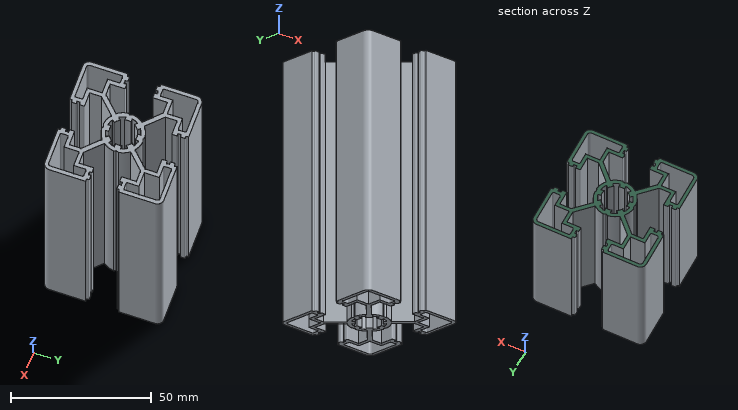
import cadquery as cq
import math

width = 45.0
length = 100.0
half = width / 2

corner_radius = 2.5
wall = 1.5
chamber_radius = corner_radius - wall
chamber_end_radius = 0.5
lip_depth = 6.0
slot_half_width = 5.2
slot_inner_half_width = 10.8
end_wall = 2.4

lip_recess = 1.0
step_depth = 1.0
groove_start = 2.9
groove_width = 1.1
lip_radius = 0.3

core_outer_radius = 7.9
core_inner_radius = 6.3
tooth_tip_radius = 5.1
tooth_width = 2.4
tooth_count = 8
notch_width = 1.8
notch_depth = 0.4

web_thickness = 1.8
diagonal_angle = 45
side_count = 4


def turned_copies(shape, count):
    """Join copies of a shape spaced evenly around the Z axis."""
    joined = shape
    for index in range(1, count):
        joined = joined.union(shape.rotate((0, 0, 0), (0, 0, 1), index * 360 / count))
    return joined


def stepped_prism(outer, step, inner, tip):
    """Prism along Z whose section is a square corner with a stepped inner side.

    outer: outer sides, step: depth of the two arms,
    inner: inner corner, tip: free ends of the arms.
    """
    points = [
        (outer, outer),
        (tip, outer),
        (tip, step),
        (inner, step),
        (inner, inner),
        (step, inner),
        (step, tip),
        (outer, tip),
    ]
    return cq.Workplane("XY").polyline(points).close().extrude(length)


def z_edges_at(shape, points):
    """Select the edges parallel to Z that pass through the given XY points."""
    reach = 0.1
    edges = []
    for x, y in points:
        box = cq.selectors.BoxSelector(
            (x - reach, y - reach, 0), (x + reach, y + reach, length)
        )
        edges += shape.edges("|Z").edges(box).vals()
    return shape.newObject(edges)


def lip_cuts():
    """Edge step and narrow groove in the lip that faces along -X."""
    recess_end = slot_half_width + lip_recess
    step = (
        cq.Workplane("XY")
        .rect(recess_end, step_depth, centered=False)
        .extrude(length)
        .translate((0, half - step_depth, 0))
    )
    groove = (
        cq.Workplane("XY")
        .rect(recess_end, groove_width, centered=False)
        .extrude(length)
        .translate((0, half - groove_start - groove_width, 0))
    )
    return step.union(groove)


def lip_corners():
    """XY points of the rounded corners on both lips of one chamber."""
    tip_depths = [step_depth, groove_start, groove_start + groove_width, lip_depth]
    corners = [(slot_half_width, half - depth) for depth in tip_depths]
    corners.append((slot_half_width + lip_recess, half - step_depth))
    return corners + [(y, x) for x, y in corners]


def corner_chamber():
    """Hollow L-shaped corner with its lips, in the +X +Y quarter."""
    body = stepped_prism(half, half - lip_depth, slot_inner_half_width, slot_half_width)
    body = z_edges_at(body, [(half, half)]).fillet(corner_radius)

    face = half - wall
    step = half - lip_depth + wall
    tip = slot_half_width + end_wall
    hollow = stepped_prism(face, step, slot_inner_half_width + wall, tip)
    arm_ends = [(tip, face), (tip, step), (face, tip), (step, tip)]
    hollow = z_edges_at(hollow, [(face, face)]).fillet(chamber_radius)
    hollow = z_edges_at(hollow, arm_ends).fillet(chamber_end_radius)

    cuts = lip_cuts()
    mirrored_cuts = cuts.mirror("YZ").rotate((0, 0, 0), (0, 0, 1), -90)
    body = body.cut(hollow).cut(cuts).cut(mirrored_cuts)
    return z_edges_at(body, lip_corners()).fillet(lip_radius)


def web():
    """Diagonal web in the +X +Y quarter."""
    mid_ring = (core_outer_radius + core_inner_radius) / 2
    chamber_end = (slot_inner_half_width + wall / 2) * math.sqrt(2)
    return (
        cq.Workplane("XY")
        .center((mid_ring + chamber_end) / 2, 0)
        .rect(chamber_end - mid_ring, web_thickness)
        .extrude(length)
        .rotate((0, 0, 0), (0, 0, 1), diagonal_angle)
    )


def core():
    """Central tube with teeth inside and a V notch facing each slot."""
    tube = (
        cq.Workplane("XY")
        .circle(core_outer_radius)
        .circle(core_inner_radius)
        .extrude(length)
    )
    mid_ring = (core_outer_radius + core_inner_radius) / 2
    tooth = (
        cq.Workplane("XY")
        .center(mid_ring / 2, 0)
        .rect(mid_ring, tooth_width)
        .extrude(length)
    )
    notch_half = notch_width / 2
    notch_mouth = math.sqrt(core_outer_radius**2 - notch_half**2)
    notch = (
        cq.Workplane("XY")
        .moveTo(core_outer_radius - notch_depth, 0)
        .lineTo(notch_mouth, notch_half)
        .lineTo(core_outer_radius, notch_half)
        .lineTo(core_outer_radius, -notch_half)
        .lineTo(notch_mouth, -notch_half)
        .close()
        .extrude(length)
    )
    bore = cq.Workplane("XY").circle(tooth_tip_radius).extrude(length)
    teeth = turned_copies(tooth, tooth_count).cut(bore)
    notches = turned_copies(notch, side_count)
    return tube.union(teeth).cut(notches)


result = core().union(turned_copies(corner_chamber().union(web()), side_count))